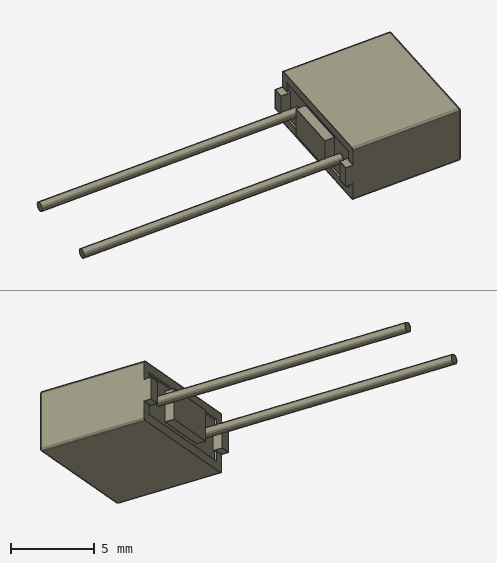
import cadquery as cq

total_length = 25.38
body_width = 8.5
body_length = 7.5
body_height = 4.0
edge_radius = 0.13

recess_width = 7.44
recess_height = 2.85
recess_depth = 0.15

standoff = 0.5
tab_width = 0.7
tab_height = 1.47
block_width = 3.48
block_height = 2.08

lead_diameter = 0.6
lead_pitch = 5.08

back_y = total_length / 2
face_y = back_y - body_length
standoff_y = face_y - standoff
recess_y = face_y + recess_depth
lead_end_y = -total_length / 2


def bar(width, height, y_start, y_end, x=0):
    """Rectangular bar along Y, centred on Z and at the given X."""
    length = y_end - y_start
    return cq.Workplane("XY").box(width, length, height).translate((x, y_start + length / 2, 0))


def lead(x):
    """Round lead from the recess floor to the free end."""
    plane = cq.Workplane("XZ", origin=(x, recess_y, 0))
    return plane.circle(lead_diameter / 2).extrude(recess_y - lead_end_y)


body = bar(body_width, body_height, face_y, back_y)
body = body.edges("|Y or >Y").fillet(edge_radius)
body = body.cut(bar(recess_width, recess_height, face_y, recess_y))

result = body.union(bar(block_width, block_height, standoff_y, recess_y))

for side in (-1, 1):
    tab_x = side * (body_width - tab_width) / 2
    result = result.union(bar(tab_width, tab_height, standoff_y, recess_y, tab_x))
    result = result.union(lead(side * lead_pitch / 2))